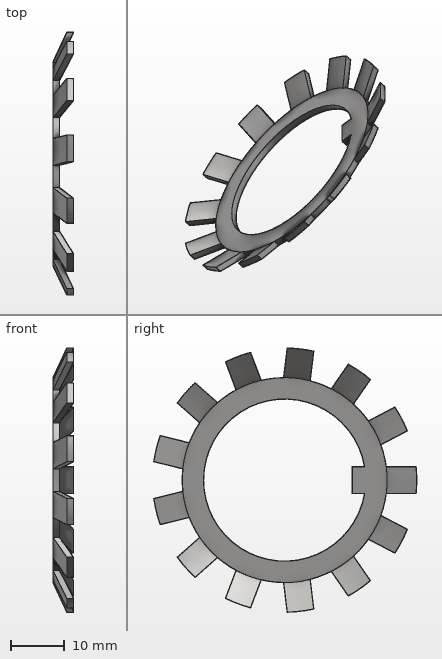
import cadquery as cq
import math

thickness = 1.25
bore_diameter = 30.0
ring_diameter = 38.0
tooth_tip_diameter = 49.0
tooth_count = 13
tooth_width = 5.0
tooth_bend_angle = 25.0
key_width = 5.0
key_to_far_bore = 27.5

bore_radius = bore_diameter / 2
ring_radius = ring_diameter / 2
tip_radius = tooth_tip_diameter / 2
tooth_rise = (tip_radius - ring_radius) * math.tan(math.radians(tooth_bend_angle))
overall_depth = tooth_rise + thickness
key_end_radius = key_to_far_bore - bore_radius


def radial_bar(inner, outer, width, depth):
    """Box along +Y from radius inner to outer, centred on Z = 0, rising from X = 0."""
    bar = cq.Workplane("XY").box(depth, outer - inner, width, centered=(False, False, True))
    return bar.translate((0, inner, 0))


def flat_ring():
    return cq.Workplane("YZ").circle(ring_radius).circle(bore_radius).extrude(thickness)


def inner_key():
    mid_ring_radius = (bore_radius + ring_radius) / 2
    return radial_bar(key_end_radius, mid_ring_radius, key_width, thickness)


def tooth_cone():
    """Conical skirt from which the teeth are cut."""
    return (
        cq.Workplane("XY")
        .moveTo(0, ring_radius)
        .lineTo(tooth_rise, tip_radius)
        .lineTo(overall_depth, tip_radius)
        .lineTo(thickness, ring_radius)
        .close()
        .revolve(360, (0, 0, 0), (1, 0, 0))
    )


def bent_tooth():
    """Parallel-sided tooth centred on +Y."""
    return tooth_cone().intersect(radial_bar(bore_radius, tip_radius, tooth_width, overall_depth))


result = flat_ring().union(inner_key())
tooth = bent_tooth()
for index in range(tooth_count):
    angle = index * 360 / tooth_count
    result = result.union(tooth.rotate((0, 0, 0), (1, 0, 0), angle))